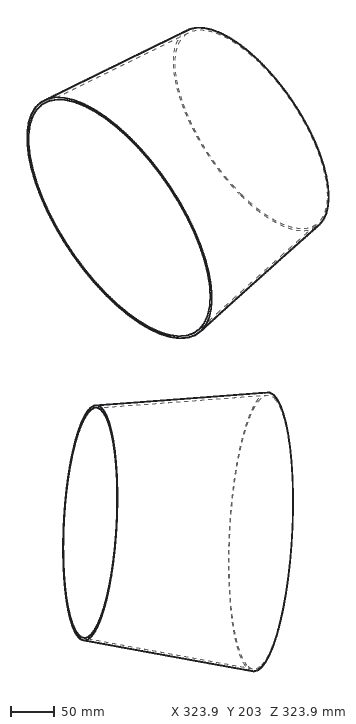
import cadquery as cq

LARGE_DIAMETER = 323.9
SMALL_DIAMETER = 273.0
LENGTH = 203.0
WALL = 3.0


def make_reducer():
    """Revolve the tapered wall section about the Y axis."""
    large_radius = LARGE_DIAMETER / 2
    small_radius = SMALL_DIAMETER / 2
    wall_section = (
        cq.Workplane("XY")
        .moveTo(large_radius - WALL, 0)
        .lineTo(large_radius, 0)
        .lineTo(small_radius, LENGTH)
        .lineTo(small_radius - WALL, LENGTH)
        .close()
    )
    return wall_section.revolve(360, (0, 0, 0), (0, 1, 0))


result = make_reducer()